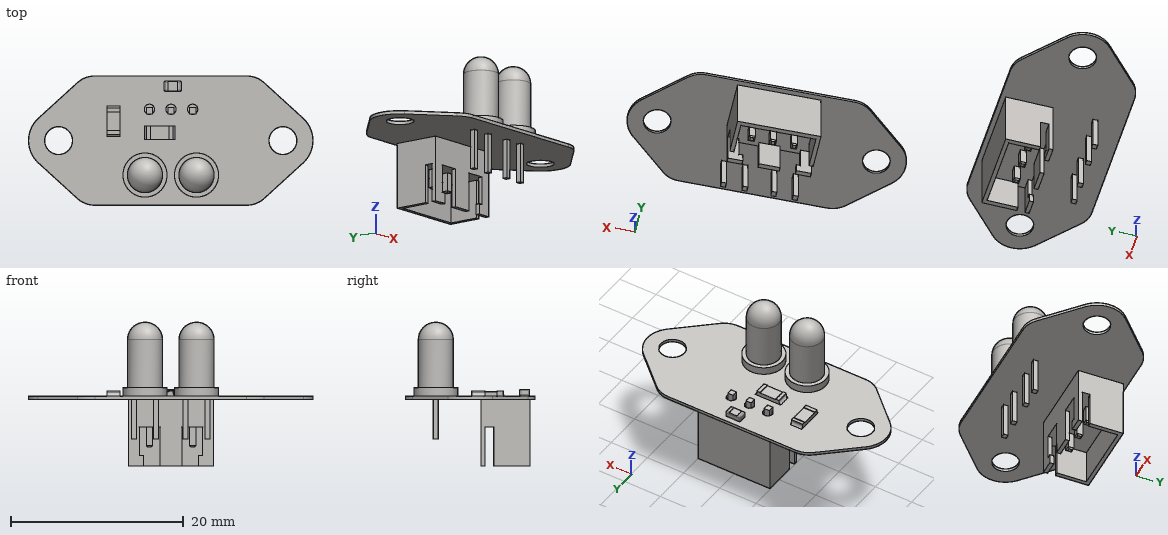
import cadquery as cq
import math


board_length = 33.0
board_width = 15.0
board_thickness = 0.4
end_radius = 3.5
shoulder_radius = 3.0
taper_angle = 42.4
mounting_hole_diameter = 3.2
mounting_hole_x = board_length / 2 - end_radius

led_spacing = 5.97
led_y = -4.0
led_diameter = 4.1
led_height = 8.58
flange_diameter = 5.1
flange_height = 1.0
leg_width = 0.6
leg_spacing = 2.55
leg_end_z = -4.98

connector_x = 0.03
housing_length = 9.9
housing_front_y = 1.22
housing_back_y = 6.93
housing_bottom_z = -8.12
wall_thickness = 0.5
cavity_floor_z = -3.6
side_slot_width = 1.0
notch_inner_x = 1.25
notch_outer_x = 3.65
notch_mouth_x = 3.17
notch_step_z = -6.85

pin_pitch = 2.5
pin_width = 0.73
pin_y = 3.45
pin_top_z = 0.6
pin_end_z = -5.9
pin_chamfer = 0.15
pin_hole_diameter = 1.2
pin_hole_y = 3.63

resistor_length = 3.53
resistor_width = 1.55
resistor_height = 0.6
resistor_end_inset = 0.23
resistor_lip = 0.15
arc_sag = 0.65
resistor_terminal_length = 0.7
resistor_step = 0.05
side_resistor_x = -6.63
side_resistor_y = 2.25
middle_resistor_x = -1.25
middle_resistor_y = 0.92

capacitor_length = 2.0
capacitor_width = 1.2
capacitor_height = 0.8
capacitor_edge_radius = 0.15
capacitor_terminal_length = 0.45
capacitor_step = 0.03
capacitor_x = 0.23
capacitor_y = 6.3

led_positions = [(side * led_spacing / 2, led_y) for side in (-1, 1)]
leg_offsets = [-leg_spacing / 2, leg_spacing / 2]
pin_columns = [-pin_pitch, 0, pin_pitch]


def box(x_range, y_range, z_range):
    """Box spanning the given (low, high) ranges."""
    ranges = (x_range, y_range, z_range)
    sizes = [high - low for low, high in ranges]
    corner = tuple(low for low, high in ranges)
    return cq.Workplane("XY").box(*sizes, centered=False).translate(corner)


def square_bar(width, x, y, bottom_z, top_z):
    """Upright square bar centred on (x, y)."""
    half = width / 2
    return box((x - half, x + half), (y - half, y + half), (bottom_z, top_z))


def make_led(x, y):
    flange = cq.Workplane("XY").circle(flange_diameter / 2).extrude(flange_height)
    radius = led_diameter / 2
    lens = cq.Workplane("XY").circle(radius).extrude(led_height - radius)
    dome = cq.Workplane("XY").sphere(radius).translate((0, 0, led_height - radius))
    led = flange.union(lens).union(dome)
    for offset in leg_offsets:
        led = led.union(square_bar(leg_width, offset, 0, leg_end_z, 0))
    return led.translate((x, y, 0))


def make_pins():
    pins = cq.Workplane("XY")
    for x in pin_columns:
        pin = square_bar(pin_width, x, pin_y, pin_end_z, pin_top_z)
        pins = pins.add(pin.faces("<Z").chamfer(pin_chamfer))
    return pins


def make_front_notch():
    """Stepped notch through the front wall on the +X side."""
    front = (housing_front_y, housing_front_y + wall_thickness)
    wide = box((notch_inner_x, notch_outer_x), front, (notch_step_z, cavity_floor_z))
    mouth = box((notch_inner_x, notch_mouth_x), front, (housing_bottom_z, notch_step_z))
    return wide.union(mouth)


def make_connector():
    half_length = housing_length / 2
    inner_half_length = half_length - wall_thickness
    inner_front_y = housing_front_y + wall_thickness
    open_depth = (housing_bottom_z, cavity_floor_z)
    housing = box(
        (-half_length, half_length),
        (housing_front_y, housing_back_y),
        (housing_bottom_z, -board_thickness),
    )
    cavity = box(
        (-inner_half_length, inner_half_length),
        (inner_front_y, housing_back_y - wall_thickness),
        open_depth,
    )
    side_slots = box(
        (-half_length, half_length),
        (inner_front_y, inner_front_y + side_slot_width),
        open_depth,
    )
    notch = make_front_notch()
    connector = housing.cut(cavity).cut(side_slots).cut(notch).cut(notch.mirror("YZ"))
    for pin in make_pins().vals():
        connector = connector.union(cq.Workplane(pin))
    return connector.translate((connector_x, 0, 0))


def make_top_recess(length, terminal_length, width, height, step):
    """Shallow cut that lowers the top between the two terminals."""
    half_middle = length / 2 - terminal_length
    return box((-half_middle, half_middle), (-width / 2, width / 2), (height - step, height))


def make_resistor(x, y, angle):
    half_base = resistor_length / 2
    half_top = half_base - resistor_end_inset
    lip_z = resistor_height - resistor_lip
    arc_x = half_base - arc_sag * resistor_end_inset
    arc_z = (1 - arc_sag) * lip_z
    resistor = (
        cq.Workplane("XZ")
        .moveTo(-half_base, 0)
        .lineTo(half_base, 0)
        .threePointArc((arc_x, arc_z), (half_top, lip_z))
        .lineTo(half_top, resistor_height)
        .lineTo(-half_top, resistor_height)
        .lineTo(-half_top, lip_z)
        .threePointArc((-arc_x, arc_z), (-half_base, 0))
        .close()
        .extrude(resistor_width / 2, both=True)
    )
    recess = make_top_recess(
        resistor_length, resistor_terminal_length, resistor_width, resistor_height, resistor_step
    )
    return resistor.cut(recess).rotate((0, 0, 0), (0, 0, 1), angle).translate((x, y, 0))


def make_capacitor():
    block = cq.Workplane("XY").box(
        capacitor_length, capacitor_width, capacitor_height, centered=(True, True, False)
    )
    recess = make_top_recess(
        capacitor_length,
        capacitor_terminal_length,
        capacitor_width,
        capacitor_height,
        capacitor_step,
    )
    capacitor = block.edges().fillet(capacitor_edge_radius).cut(recess)
    return capacitor.translate((capacitor_x, capacitor_y, 0))


def make_board():
    slope = math.radians(taper_angle)
    half_width = board_width / 2
    tip_x = mounting_hole_x + end_radius / math.sin(slope)
    shoulder_x = tip_x - half_width / math.tan(slope)
    board = (
        cq.Workplane("XY")
        .polyline([
            (-tip_x, 0),
            (-shoulder_x, -half_width),
            (shoulder_x, -half_width),
            (tip_x, 0),
            (shoulder_x, half_width),
            (-shoulder_x, half_width),
        ])
        .close()
        .extrude(-board_thickness)
    )
    board = board.edges("|Z and (<X or >X)").fillet(end_radius)
    board = board.edges("|Z and (<Y or >Y)").fillet(shoulder_radius)
    mounting_holes = (
        cq.Workplane("XY")
        .pushPoints([(-mounting_hole_x, 0), (mounting_hole_x, 0)])
        .circle(mounting_hole_diameter / 2)
        .extrude(-board_thickness)
    )
    pin_holes = (
        cq.Workplane("XY")
        .pushPoints([(connector_x + x, pin_hole_y) for x in pin_columns])
        .circle(pin_hole_diameter / 2)
        .extrude(-board_thickness)
    )
    board = board.cut(mounting_holes).cut(pin_holes)
    for pin in make_pins().vals():
        board = board.cut(cq.Workplane(pin).translate((connector_x, 0, 0)))
    for x, y in led_positions:
        for offset in leg_offsets:
            board = board.cut(square_bar(leg_width, x + offset, y, -board_thickness, 0))
    return board


board = make_board()
leds = [make_led(x, y) for x, y in led_positions]
connector = make_connector()
resistors = [
    make_resistor(side_resistor_x, side_resistor_y, 90),
    make_resistor(middle_resistor_x, middle_resistor_y, 0),
]
capacitor = make_capacitor()

result = cq.Compound.makeCompound([
    board.val(),
    *[led.val() for led in leds],
    connector.val(),
    *[resistor.val() for resistor in resistors],
    capacitor.val(),
])